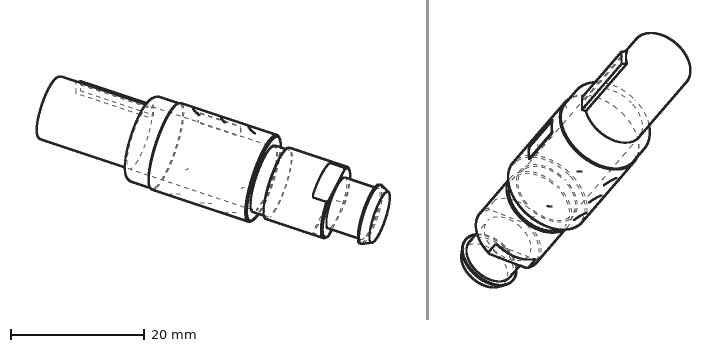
import cadquery as cq
import math

total_length = 53.8

nose_radius = 9.95 / 2
nose_fillet = 0.55

key_start = 2.5
key_top = 5.5
key_width = 2.5
key_lead_in = 0.55

collar_start = 14.85
collar_radius = 13.45 / 2
collar_fillet = 1.1
grip_start = 19.05
grip_end = 35.0
grip_radius = 13.7 / 2
grip_chamfer = 0.2

dimple_groups = 3
group_pitch = 4.5
first_dimple_x = 22.0
column_offset = 0.9
dimple_steps_per_turn = 27
dimple_step_angle = 360 / dimple_steps_per_turn
steps_each_side = 3
dimple_half_length = 1.25
dimple_half_angle = 13.5
cutter_overhang = 1.1

label_start = 21.5
label_length = 6.9
label_width = 2.5
label_height = 0.1

neck_radius = 5.25
nut_start = 37.3
nut_end = 46.8
nut_radius = 5.65
nut_chamfer = 0.2
flat_start = 44.3
flat_height = 4.45
flat_corner_fillet = 0.25
tail_radius = 4.05
rim_start = 52.2
rim_land = 0.2
rim_radius = 4.7


def cylinder(start, end, radius):
    """Round bar along X."""
    return cq.Workplane("YZ", origin=(start, 0, 0)).circle(radius).extrude(end - start)


def make_plug_core():
    core = cylinder(0, grip_end, nose_radius).faces("<X").edges().fillet(nose_fillet)
    key = (
        cq.Workplane("XY", origin=(0, 0, -key_width / 2))
        .moveTo(key_start, 0)
        .lineTo(key_start, key_top - key_lead_in)
        .lineTo(key_start + key_lead_in, key_top)
        .lineTo(collar_start, key_top)
        .lineTo(collar_start, 0)
        .close()
        .extrude(key_width)
    )
    return core.union(key)


def make_dimple_cutter(x, angle):
    """Cylinder lying across the grip; angle is measured about X from +Z."""
    depth = grip_radius * (1 - math.cos(math.radians(dimple_half_angle)))
    cutter_radius = (dimple_half_length**2 + depth**2) / (2 * depth)
    dimple_half_width = grip_radius * math.sin(math.radians(dimple_half_angle))
    cutter_length = 2 * (dimple_half_width + cutter_overhang)
    axis_height = grip_radius - depth + cutter_radius
    return (
        cq.Workplane("XZ", origin=(x, cutter_length / 2, axis_height))
        .circle(cutter_radius)
        .extrude(cutter_length)
        .rotate((0, 0, 0), (1, 0, 0), angle)
    )


def make_dimple_cutters():
    cutters = []
    for group in range(dimple_groups):
        for step in range(-steps_each_side, steps_each_side + 1):
            x = first_dimple_x + group * group_pitch + (step % 2) * column_offset
            for side_angle in (0, 180):
                cutters.append(make_dimple_cutter(x, side_angle + step * dimple_step_angle))
    return cutters


def make_label_pad():
    band = cylinder(label_start, label_start + label_length, grip_radius + label_height)
    window = cq.Workplane("XY", origin=(label_start, 0, 0)).box(
        label_length, 2 * grip_radius, label_width, centered=(False, False, True)
    )
    return band.intersect(window)


def make_grip_sleeve():
    collar = cylinder(collar_start, grip_start, collar_radius)
    collar = collar.faces("<X").edges().fillet(collar_fillet)
    grip = cylinder(grip_start, grip_end, grip_radius)
    grip = grip.faces(">X").edges().chamfer(grip_chamfer)
    grip = grip.faces("<X").edges().chamfer(grip_radius - collar_radius)
    sleeve = collar.union(grip).union(make_label_pad())
    sleeve = sleeve.cut(cylinder(collar_start, grip_end, nose_radius))
    for cutter in make_dimple_cutters():
        sleeve = sleeve.cut(cutter)
    return sleeve


def make_wrench_flat_cutter():
    """Block that clears the nut above one flat, rounded in its inner corner."""
    return (
        cq.Workplane("XY", origin=(flat_start, 0, flat_height))
        .box(nut_end - flat_start, 2 * nut_radius, nut_radius, centered=(False, True, False))
        .edges("<X and <Z")
        .fillet(flat_corner_fillet)
    )


def make_back_nut():
    neck = cylinder(grip_end, nut_start, neck_radius)
    body = cylinder(nut_start, nut_end, nut_radius).faces(">X").edges().chamfer(nut_chamfer)
    flat_cutter = make_wrench_flat_cutter()
    body = body.cut(flat_cutter).cut(flat_cutter.mirror("XY"))
    tail = (
        cq.Workplane("XY")
        .moveTo(nut_end, 0)
        .lineTo(nut_end, tail_radius)
        .lineTo(rim_start, tail_radius)
        .lineTo(rim_start, rim_radius)
        .lineTo(rim_start + rim_land, rim_radius)
        .lineTo(total_length, tail_radius)
        .lineTo(total_length, 0)
        .close()
        .revolve(360, (0, 0, 0), (1, 0, 0))
    )
    return neck.union(body).union(tail)


plug_core = make_plug_core()
grip_sleeve = make_grip_sleeve()
back_nut = make_back_nut()

result = cq.Compound.makeCompound(
    [body.solids().val() for body in (plug_core, grip_sleeve, back_nut)]
)